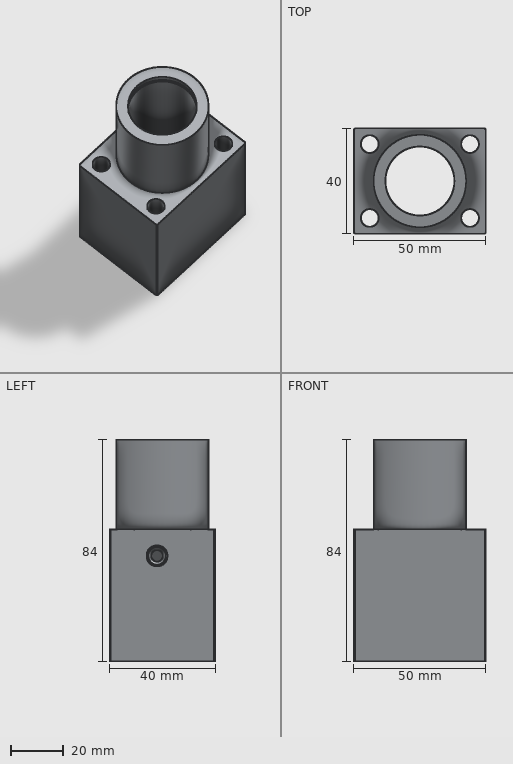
import cadquery as cq
import math

block_length = 50.0
block_width = 40.0
block_height = 50.0
corner_chamfer = 0.46

total_height = 84.0
tube_diameter = 35.0
bore_diameter = 26.0

groove_diameter = 27.2
groove_width = 1.3
groove_lip = 2.1

mount_diameter = 6.6
mount_spacing_x = 38.0
mount_spacing_y = 28.0

port_y = 2.0
port_below_top = 10.0
port_diameter = 6.7
port_mouth_diameter = 8.0
port_depth = 8.0
passage_diameter = 4.4
drill_half_angle = 59.0


def vertical_cylinder(diameter, bottom, top):
    """Cylinder on the Z axis between two heights."""
    return cq.Workplane("XY").workplane(offset=bottom).circle(diameter / 2).extrude(top - bottom)


def make_block():
    block = cq.Workplane("XY").box(block_length, block_width, block_height, centered=(True, True, False))
    return block.edges("|Z").chamfer(corner_chamfer)


def make_groove():
    groove_top = total_height - groove_lip
    return vertical_cylinder(groove_diameter, groove_top - groove_width, groove_top)


def make_mounting_holes():
    return (
        cq.Workplane("XY")
        .rect(mount_spacing_x, mount_spacing_y, forConstruction=True)
        .vertices()
        .circle(mount_diameter / 2)
        .extrude(block_height)
    )


def make_port():
    """Stepped port revolved about its own axis, running from the -X face into the bore."""
    face_x = -block_length / 2
    mouth_radius = port_mouth_diameter / 2
    port_radius = port_diameter / 2
    passage_radius = passage_diameter / 2
    entry_end = face_x + mouth_radius - port_radius
    cone_start = face_x + port_depth
    cone_end = cone_start + (port_radius - passage_radius) / math.tan(math.radians(drill_half_angle))
    profile = (
        cq.Workplane("XY")
        .moveTo(face_x, 0)
        .lineTo(face_x, mouth_radius)
        .lineTo(entry_end, port_radius)
        .lineTo(cone_start, port_radius)
        .lineTo(cone_end, passage_radius)
        .lineTo(0, passage_radius)
        .lineTo(0, 0)
        .close()
    )
    port = profile.revolve(360, (0, 0, 0), (1, 0, 0))
    return port.translate((0, port_y, block_height - port_below_top))


result = (
    make_block()
    .union(vertical_cylinder(tube_diameter, block_height, total_height))
    .cut(vertical_cylinder(bore_diameter, 0, total_height))
    .cut(make_groove())
    .cut(make_mounting_holes())
    .cut(make_port())
)